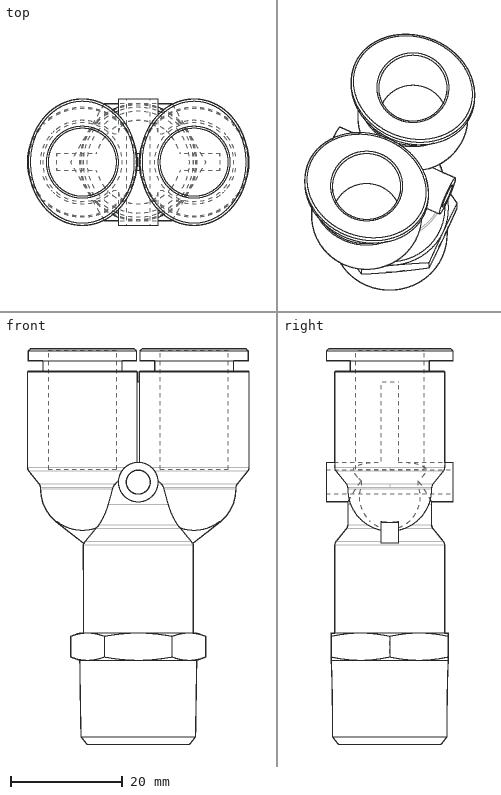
import cadquery as cq
import math

total_height = 70.9
port_offset = 10.0
body_radius = 9.85
depth_y = 22.7

thread_tip_radius = 10.3
thread_root_radius = 10.5
thread_chamfer_width = 1.1
thread_chamfer_height = 1.4

nut_bottom = 15.1
nut_top = 20.0
nut_flats = 21.0
nut_corners = nut_flats / math.cos(math.radians(30))
nut_bevel_angle = 20.0

shoulder_height = 2.9
shoulder_fillet = 1.0
stem_top = 36.1
column_base = stem_top + shoulder_height
column_radius = 7.5
column_top = 43.0

ball_radius = column_radius
ball_center = 45.7
body_bottom = 49.3
collar_top = body_bottom - shoulder_height
body_top = 66.9
body_chamfer = 0.2

neck_radius = 7.1
flange_width = 19.4
flange_bottom = 68.7
flange_chamfer = 0.4
bore_radius = 6.1
bore_chamfer = 0.35
bore_floor = body_bottom

boss_height = 47.0
boss_radius = 3.55
boss_hole_radius = 2.1

web_thickness = 3.05
port_web_top = 64.95


def revolve_profile(points):
    """Solid of revolution about Z from (radius, z) points."""
    return cq.Workplane("XZ").polyline(points).close().revolve(360, (0, 0), (0, 1))


def fillet_circles(solid, heights):
    """Round the circular edges of a turned solid at the given heights."""
    margin = 0.1
    for height in heights:
        around_axis = cq.selectors.BoxSelector(
            (-margin, -margin, height - margin), (margin, margin, height + margin)
        )
        solid = solid.edges("%CIRCLE").edges(around_axis).fillet(shoulder_fillet)
    return solid


def make_thread():
    return revolve_profile([
        (0, 0),
        (thread_tip_radius - thread_chamfer_width, 0),
        (thread_tip_radius, thread_chamfer_height),
        (thread_root_radius, nut_bottom),
        (0, nut_bottom),
    ])


def make_nut():
    """Hexagon with corners on the X axis, bevelled at both ends."""
    hexagon = (
        cq.Workplane("XY").workplane(offset=nut_bottom)
        .polygon(6, nut_corners).extrude(nut_top - nut_bottom)
    )
    flat_radius = nut_flats / 2
    corner_radius = nut_corners / 2
    bevel_drop = (corner_radius - flat_radius) * math.tan(math.radians(nut_bevel_angle))
    bevel = revolve_profile([
        (0, nut_bottom),
        (flat_radius, nut_bottom),
        (corner_radius, nut_bottom + bevel_drop),
        (corner_radius, nut_top - bevel_drop),
        (flat_radius, nut_top),
        (0, nut_top),
    ])
    return hexagon.intersect(bevel)


def make_stem():
    stem = revolve_profile([
        (0, nut_top),
        (body_radius, nut_top),
        (body_radius, stem_top),
        (column_radius, column_base),
        (column_radius, column_top),
        (0, column_top),
    ])
    stem = fillet_circles(stem, (stem_top, column_base))
    dome = cq.Workplane("XY").sphere(column_radius).translate((0, 0, column_top))
    return stem.union(dome)


def make_port(x):
    """Port body with ball end and release sleeve, on the axis at x."""
    body = revolve_profile([
        (0, ball_center),
        (ball_radius, ball_center),
        (ball_radius, collar_top),
        (body_radius, body_bottom),
        (body_radius, body_top - body_chamfer),
        (body_radius - body_chamfer, body_top),
        (neck_radius, body_top),
        (neck_radius, flange_bottom),
        (0, flange_bottom),
    ])
    body = fillet_circles(body, (collar_top, body_bottom))
    ball = cq.Workplane("XY").sphere(ball_radius).translate((0, 0, ball_center))
    flange = (
        cq.Workplane("XY").workplane(offset=flange_bottom)
        .ellipse(flange_width / 2, depth_y / 2)
        .extrude(total_height - flange_bottom)
        .faces(">Z").chamfer(flange_chamfer)
    )
    return body.union(ball).union(flange).translate((x, 0, 0))


def make_bore(x):
    """Blind tube socket with a chamfered mouth."""
    return revolve_profile([
        (0, bore_floor),
        (bore_radius, bore_floor),
        (bore_radius, total_height - bore_chamfer),
        (bore_radius + bore_chamfer, total_height),
        (0, total_height),
    ]).translate((x, 0, 0))


def make_boss():
    return (
        cq.Workplane("XZ").center(0, boss_height).circle(boss_radius)
        .extrude(depth_y / 2, both=True)
    )


def make_web():
    """Gussets tangent to the balls, and the strip that joins the two ports."""
    corner_dx = body_radius - port_offset
    corner_dz = stem_top - ball_center
    corner_distance = math.hypot(corner_dx, corner_dz)
    tangent_angle = math.atan2(corner_dz, corner_dx) + math.acos(ball_radius / corner_distance)
    gusset_reach = port_offset + ball_radius * math.cos(tangent_angle)
    gusset_top = ball_center + ball_radius * math.sin(tangent_angle)
    outline = [
        (-body_radius, stem_top),
        (body_radius, stem_top),
        (gusset_reach, gusset_top),
        (port_offset, ball_center),
        (port_offset, port_web_top),
        (-port_offset, port_web_top),
        (-port_offset, ball_center),
        (-gusset_reach, gusset_top),
    ]
    return cq.Workplane("XZ").polyline(outline).close().extrude(web_thickness / 2, both=True)


result = make_thread().union(make_nut()).union(make_stem()).union(make_web()).union(make_boss())
for port_x in (-port_offset, port_offset):
    result = result.union(make_port(port_x))
for port_x in (-port_offset, port_offset):
    result = result.cut(make_bore(port_x))

boss_hole = (
    cq.Workplane("XZ").center(0, boss_height).circle(boss_hole_radius)
    .extrude(depth_y, both=True)
)
result = result.cut(boss_hole)